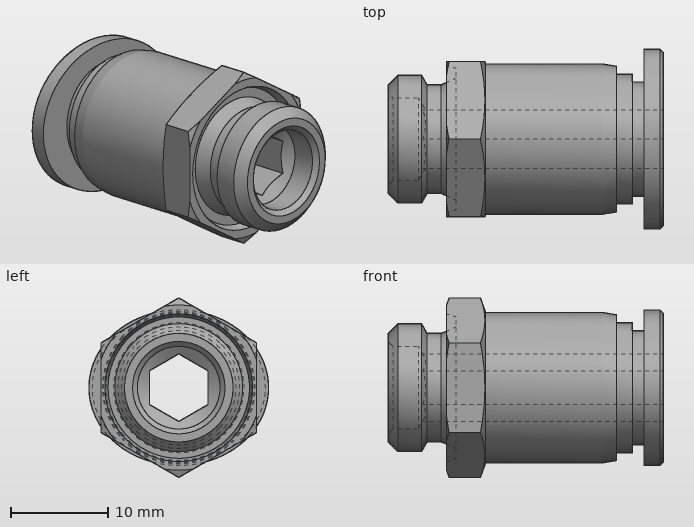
import cadquery as cq
import math


thread_lead_end = 1.0
thread_end = 3.45
groove_start = 4.0
groove_end = 5.45
nut_front = 6.0
nut_rear = 10.0
sleeve_taper_start = 22.0
sleeve_end = 23.5
ring_end = 25.1
collar_front = 26.3
collar_rear = 28.3

lead_radius = 5.58
thread_radius = 6.58
groove_radius = 5.6
sleeve_radius = 7.75
sleeve_end_radius = 7.5
ring_radius = 6.7
neck_radius = 5.88

nut_across_flats = 16.0
nut_cone_angle = 20.0
nut_front_face_radius = 8.5
nut_rear_face_radius = 7.85
nut_trim_margin = 1.0
recess_depth = 1.0
recess_mouth_radius = 7.6
recess_floor_radius = 7.27
recess_flare_angle = 23.0
recess_floor = nut_front + recess_depth

collar_width_y = 18.5
collar_height_z = 16.0
collar_chamfer = 0.35

bore_radius = 4.25
bore_chamfer = 0.5
bore_depth = 3.1
drill_point_angle = 118.0
socket_across_flats = 6.0


def tan_deg(angle):
    return math.tan(math.radians(angle))


def corner_diameter(across_flats):
    return across_flats / math.cos(math.radians(30))


def revolve_about_x(points):
    """Turn a closed (x, radius) outline about the X axis."""
    return cq.Workplane("XY").polyline(points).close().revolve(360, (0, 0, 0), (1, 0, 0))


def hex_prism(across_flats, start, end):
    """Hexagonal bar along X with two corners on the Z axis."""
    return (
        cq.Workplane("YZ", origin=(start, 0, 0))
        .transformed(rotate=(0, 0, 90))
        .polygon(6, corner_diameter(across_flats))
        .extrude(end - start)
    )


def turned_body():
    return revolve_about_x([
        (0, 0),
        (0, lead_radius),
        (thread_lead_end, thread_radius),
        (thread_end, thread_radius),
        (groove_start, groove_radius),
        (nut_rear, groove_radius),
        (nut_rear, sleeve_radius),
        (sleeve_taper_start, sleeve_radius),
        (sleeve_end, sleeve_end_radius),
        (sleeve_end, ring_radius),
        (ring_end, ring_radius),
        (ring_end, neck_radius),
        (collar_front, neck_radius),
        (collar_front, 0),
    ])


def nut():
    """Hexagon trimmed by a cone at each end."""
    trim_radius = corner_diameter(nut_across_flats) / 2 + nut_trim_margin
    slope = tan_deg(nut_cone_angle)
    trim = revolve_about_x([
        (nut_front, 0),
        (nut_front, nut_front_face_radius),
        (nut_front + (trim_radius - nut_front_face_radius) * slope, trim_radius),
        (nut_rear - (trim_radius - nut_rear_face_radius) * slope, trim_radius),
        (nut_rear, nut_rear_face_radius),
        (nut_rear, 0),
    ])
    return hex_prism(nut_across_flats, nut_front, nut_rear).intersect(trim)


def seal_recess():
    """Ring-shaped cut in the nut's front face."""
    return revolve_about_x([
        (nut_front, groove_radius),
        (nut_front, recess_mouth_radius),
        (recess_floor, recess_floor_radius),
        (recess_floor, groove_radius),
    ])


def groove_flare():
    """Cone joining the thread undercut to the recess floor."""
    flare_radius = groove_radius + (recess_floor - groove_end) * tan_deg(recess_flare_angle)
    return revolve_about_x([
        (groove_end, 0),
        (groove_end, groove_radius),
        (recess_floor, flare_radius),
        (recess_floor, 0),
    ])


def release_collar():
    return (
        cq.Workplane("YZ", origin=(collar_front, 0, 0))
        .ellipse(collar_width_y / 2, collar_height_z / 2)
        .extrude(collar_rear - collar_front)
        .faces(">X")
        .chamfer(collar_chamfer)
    )


def front_bore():
    """Chamfered drilled hole with a conical bottom."""
    point_depth = bore_radius / tan_deg(drill_point_angle / 2)
    return revolve_about_x([
        (0, 0),
        (0, bore_radius + bore_chamfer),
        (bore_chamfer, bore_radius),
        (bore_depth, bore_radius),
        (bore_depth + point_depth, 0),
    ])


def through_socket():
    return hex_prism(socket_across_flats, 0, collar_rear)


result = (
    turned_body()
    .union(nut())
    .cut(seal_recess())
    .union(groove_flare())
    .union(release_collar())
    .cut(front_bore())
    .cut(through_socket())
)